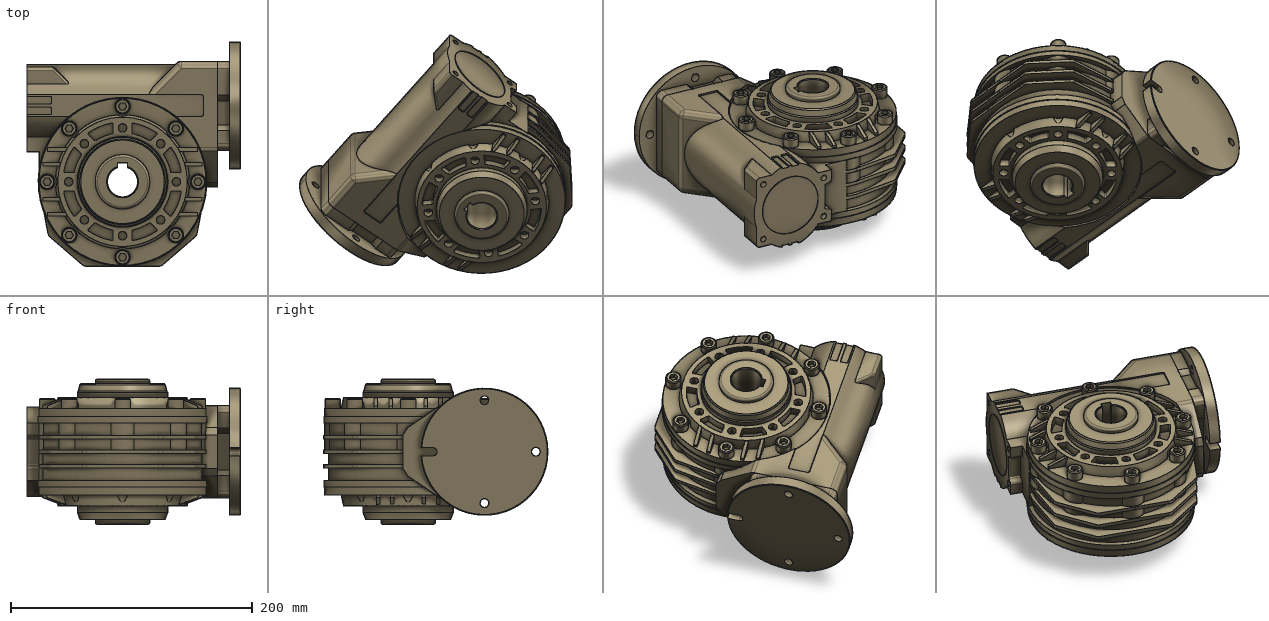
import cadquery as cq
import math


input_y = 63.0
left_x = -79.0
pad_x = 78.6
disc_x = 88.3
right_x = 97.5

shaft_radius = 22.54
shaft_half_length = 60.0
shaft_rounding = 1.9
bore_radius = 12.5
bore_chamfer = 0.7
key_width = 8.0
key_top_y = 15.5

body_radius = 65.8
body_half_height = 23.7
rim_radius = 69.7
rim_z = 29.1
cover_radius = 69.0
cover_z = 35.8
hub_base_radius = 55.5
hub_top_radius = 53.5
hub_z = 44.7
neck_radius = 37.5
neck_z = 50.0
nose_radius = 35.0
nose_z = 56.2
top_neck_z = 49.0
top_cone_radius = 36.7
top_nose_edge_radius = 35.5
top_nose_edge_z = 55.0
top_nose_radius = 34.5

screw_count = 8
screw_circle_radius = 62.3
screw_head_radius = 6.4
screw_top_z = 44.1
screw_chamfer = 1.0
socket_flats = 6.0
socket_depth = 3.7
spotface_radius = 8.2
boss_radius = 13.4
boss_centre_radius = cover_radius - boss_radius
boss_bottom_z = -0.4

hub_hole_diameter = 7.0
hub_hole_circle_radius = 44.5
hub_hole_depth = 7.5
pocket_inner_radius = 40.6
pocket_outer_radius = 49.3
pocket_depth = 7.0
pocket_rounding = 1.1
spoke_width = 15.4
rib_width = 3.0
rib_end_radius = 67.3
rib_end_z = 37.8
top_rib_slope = 0.43
bottom_rib_slope = 0.38
top_rib_ys = (14.5, 26.7)
bottom_rib_ys = (13.0, 24.9)

fin_thickness = 3.0
fin_spacing = 12.0
fin_corner_x = 61.4
fin_corner_y = -44.3
fin_front_half_width = 31.7
fin_rounding = 5.5
fin_side_y = -3.9
fin_front_y = -70.0

tube_arc_radius = 39.9
tube_arc_offset = 6.0
tube_flat_z = 37.0
tube_tip = tube_arc_radius - tube_arc_offset
tube_flat_half_width = math.sqrt(tube_arc_radius**2 - tube_flat_z**2) - tube_arc_offset
wall_x = -69.0
wall_end_y = 5.0
lug_back_y = 94.8
lug_back_half_height = 32.18
lug_back_rounding = 3.0
lug_run_out_rounding = 2.0
lug_back_end_x = -57.1
lug_front_y = 24.9
lug_notch_y = 30.8
lug_notch_half_height = 13.0
lug_notch_floor_half_height = 11.1
lug_notch_rounding = 1.5
end_hole_diameter = 5.0
end_hole_depth = 9.3
end_hole_back_offset = 25.5
end_hole_front_offset = 31.2
end_hole_front_z = 17.8
cap_diameter = 52.0
cap_recess = 0.5
slot_end_x = -58.6
slot_width = 6.1
slot_depth = 1.3
slot_offset = 4.5
slot_rounding = 1.1

block_half_height = 38.4
block_back_y = 99.6
block_corner_x = 46.4
block_start_x = 27.8
block_rounding = 6.0
block_shoulder_y = 26.7
block_knee_y = -0.4
block_knee_z = 20.0
block_front_y = -4.3
block_front_half_height = 14.0
track_end_x = 66.8
track_rounding = 1.5

disc_radius = 52.5
disc_chamfer = 0.5
pad_front_y = 25.8
pad_notch_depth = 3.7
pad_top_notch_ys = (42.5, 71.6)
pad_front_notch_half_width = 19.7
pad_notch_run = 4.6
flange_hole_diameter = 7.0
flange_hole_circle_radius = 42.5
flange_slot_width = 6.7

CUT_MARGIN = 9.3


def box(x0, x1, y0, y1, z0, z1):
    """Axis-aligned block between the given limits."""
    return cq.Workplane("XY").box(x1 - x0, y1 - y0, z1 - z0, centered=False).translate((x0, y0, z0))


def disc(radius, z0, z1, x=0.0, y=0.0):
    """Upright cylinder between two heights."""
    return cq.Workplane("XY", origin=(x, y, z0)).circle(radius).extrude(z1 - z0)


def section_along_x(x):
    """Workplane at x whose local axes are Y and Z, extruding towards +X."""
    return cq.Workplane("YZ", origin=(x, 0, 0))


def both_halves(shape):
    """The shape together with its mirror image below the mid plane."""
    return shape.union(shape.mirror("XY"))


def polar_points(radius):
    """Screw directions: evenly spaced points on a circle about the output axis."""
    step = 2 * math.pi / screw_count
    return [(radius * math.cos(i * step), radius * math.sin(i * step)) for i in range(screw_count)]


def worm_tube():
    """Pointed-oval tube along X with a flat on its top, bottom and front."""
    flat_back = input_y + tube_flat_half_width
    flat_front = input_y - tube_flat_half_width
    tube = (
        section_along_x(left_x)
        .moveTo(flat_back, tube_flat_z)
        .threePointArc((input_y + tube_tip, 0), (flat_back, -tube_flat_z))
        .lineTo(flat_front, -tube_flat_z)
        .threePointArc((input_y - tube_tip, 0), (flat_front, tube_flat_z))
        .close()
        .extrude(pad_x - left_x)
    )
    return tube.cut(box(left_x, pad_x, 0, lug_notch_y, -tube_flat_z, tube_flat_z))


def back_lug():
    """Square back half of the left end, running out into the tube at 45 degrees."""
    run_out = lug_back_y - input_y
    outline = [
        (left_x, input_y),
        (left_x, lug_back_y),
        (lug_back_end_x, lug_back_y),
        (lug_back_end_x + run_out, input_y),
    ]
    lug = cq.Workplane("XY").workplane(offset=-lug_back_half_height).polyline(outline).close()
    lug = lug.extrude(2 * lug_back_half_height)
    lug = lug.edges(">Y and |X").fillet(lug_back_rounding)
    run_out_edges = cq.selectors.BoxSelector(
        (lug_back_end_x, input_y, -block_half_height),
        (lug_back_end_x + run_out, lug_back_y - lug_back_rounding, block_half_height),
    )
    return lug.edges("not |Z").edges(run_out_edges).fillet(lug_run_out_rounding)


def side_wall():
    """Front lugs of the left end and the flat wall that joins them to the round body."""
    lugs = box(left_x, 0, lug_front_y, input_y, -body_half_height, body_half_height)
    notch_outline = [
        (lug_front_y, lug_notch_half_height),
        (lug_notch_y, lug_notch_floor_half_height),
        (lug_notch_y, -lug_notch_floor_half_height),
        (lug_front_y, -lug_notch_half_height),
    ]
    notch = section_along_x(left_x).polyline(notch_outline).close().extrude(wall_x - left_x)
    lugs = lugs.cut(notch)
    notch_edges = cq.selectors.BoxSelector(
        (left_x, lug_front_y - 1.9, -lug_notch_half_height - 1.9),
        (wall_x, lug_notch_y + 1.9, lug_notch_half_height + 1.9),
    )
    lugs = lugs.edges("|X").edges(notch_edges).fillet(lug_notch_rounding)
    return lugs.union(box(wall_x, 0, wall_end_y, input_y, -body_half_height, body_half_height))


def left_end_cuts():
    """Screw holes, shallow cap recess and the open-ended slots in the tube flats."""
    holes = [
        (input_y + end_hole_back_offset, end_hole_back_offset),
        (input_y + end_hole_back_offset, -end_hole_back_offset),
        (input_y - end_hole_front_offset, end_hole_front_z),
        (input_y - end_hole_front_offset, -end_hole_front_z),
    ]
    cuts = section_along_x(left_x).pushPoints(holes).circle(end_hole_diameter / 2).extrude(end_hole_depth)
    cuts = cuts.union(section_along_x(left_x).center(input_y, 0).circle(cap_diameter / 2).extrude(cap_recess))
    for side in (-1, 1):
        centre_y = input_y + side * slot_offset
        slot = box(
            left_x,
            slot_end_x,
            centre_y - slot_width / 2,
            centre_y + slot_width / 2,
            tube_flat_z - slot_depth,
            block_half_height,
        )
        slot = slot.edges("|Z and >X").fillet(slot_rounding)
        cuts = cuts.union(both_halves(slot))
    return cuts


def input_block():
    """Large block that carries the flange, with a 45 degree back corner and a sloping front."""
    upper = [
        (block_back_y, block_half_height),
        (block_shoulder_y, block_half_height),
        (block_knee_y, block_knee_z),
        (block_front_y, block_front_half_height),
    ]
    lower = [(y, -z) for y, z in reversed(upper)]
    profile = section_along_x(-block_corner_x).polyline(upper + lower).close()
    block = profile.extrude(pad_x + block_corner_x)
    shoulder_edges = cq.selectors.BoxSelector(
        (-rim_radius, block_shoulder_y - 1.9, -rim_radius), (pad_x, block_shoulder_y + 1.9, rim_radius)
    )
    block = block.edges("|X").edges(shoulder_edges).fillet(block_rounding)

    diagonal_run = block_back_y - input_y
    plan = [
        (block_corner_x, block_back_y),
        (pad_x, block_back_y),
        (pad_x, block_front_y),
        (block_start_x, block_front_y),
        (block_corner_x - diagonal_run, input_y),
    ]
    plan_prism = cq.Workplane("XY").workplane(offset=-block_half_height).polyline(plan).close()
    plan_prism = plan_prism.extrude(2 * block_half_height)
    rounded_edges = cq.selectors.BoxSelector(
        (block_corner_x - diagonal_run / 2 - 1.9, input_y + diagonal_run / 2 - 1.9, -block_half_height - 1.9),
        (pad_x - 1.9, block_back_y + 1.9, block_half_height + 1.9),
    )
    plan_prism = plan_prism.edges(rounded_edges).fillet(block_rounding)
    return block.intersect(plan_prism)


def block_track():
    """Recess that continues the tube flat into the top of the input block."""
    track = box(
        0,
        track_end_x,
        input_y - tube_flat_half_width,
        input_y + tube_flat_half_width,
        tube_flat_z,
        block_half_height + CUT_MARGIN,
    )
    return track.edges("|Z and >X").fillet(track_rounding)


def round_body():
    """Stepped body of revolution with both covers, hubs and tapered noses."""
    profile = [
        (0, -nose_z),
        (nose_radius, -nose_z),
        (neck_radius, -neck_z),
        (neck_radius, -hub_z),
        (hub_top_radius, -hub_z),
        (hub_base_radius, -cover_z),
        (cover_radius, -cover_z),
        (cover_radius, -rim_z),
        (rim_radius, -rim_z),
        (rim_radius, -body_half_height),
        (body_radius, -body_half_height),
        (body_radius, body_half_height),
        (rim_radius, body_half_height),
        (rim_radius, rim_z),
        (cover_radius, rim_z),
        (cover_radius, cover_z),
        (hub_base_radius, cover_z),
        (hub_top_radius, hub_z),
        (neck_radius, hub_z),
        (neck_radius, top_neck_z),
        (top_cone_radius, neck_z),
        (top_nose_edge_radius, top_nose_edge_z),
        (top_nose_radius, nose_z),
        (0, nose_z),
    ]
    return cq.Workplane("XZ").polyline(profile).close().revolve(360, (0, 0, 0), (0, 1, 0))


def cover_clearance():
    """Round space that the input parts leave free for the upper cover."""
    return disc(rim_radius, rim_z, block_half_height + CUT_MARGIN)


def screw_bosses():
    """Vertical bosses under the rim, one below each cover screw."""
    centres = polar_points(boss_centre_radius)
    boss = cq.Workplane("XY", origin=(0, 0, boss_bottom_z)).pushPoints(centres).circle(boss_radius)
    return boss.extrude(rim_z - boss_bottom_z)


def fins():
    """Three horizontal plates with a chamfered outline across the front."""
    outline = [
        (wall_x, wall_end_y),
        (wall_x, fin_side_y),
        (-fin_corner_x, fin_corner_y),
        (-fin_front_half_width, fin_front_y),
        (fin_front_half_width, fin_front_y),
        (fin_corner_x, fin_corner_y),
        (-wall_x, fin_side_y),
        (-wall_x, wall_end_y),
    ]
    plate = cq.Workplane("XY").polyline(outline).close().extrude(fin_thickness)
    front_edges = cq.selectors.BoxSelector(
        (wall_x, fin_front_y - 1.9, -1.9), (-wall_x, fin_corner_y + 1.9, fin_thickness + 1.9)
    )
    plate = plate.edges("|Z").edges(front_edges).fillet(fin_rounding)
    stack = cq.Workplane("XY")
    for level in (-1, 0, 1):
        stack = stack.union(plate.translate((0, 0, level * fin_spacing - fin_thickness / 2)))
    return stack


def cover_ribs(rib_ys, rib_slope):
    """Sloping ribs from the upper cover's rim up to its hub, on both sides in X."""
    ribs = cq.Workplane("XY")
    for y in rib_ys:
        end_x = math.sqrt(rib_end_radius**2 - y**2)
        root_x = neck_radius
        root_z = min(rib_end_z + rib_slope * (end_x - root_x), hub_z)
        crest_x = end_x - (root_z - rib_end_z) / rib_slope
        outline = [
            (root_x, cover_z),
            (end_x, cover_z),
            (end_x, rib_end_z),
            (crest_x, root_z),
            (root_x, root_z),
        ]
        rib = cq.Workplane("XZ").polyline(outline).close().extrude(rib_width / 2, both=True)
        for side in (-1, 1):
            placed = rib.translate((0, side * y, 0))
            ribs = ribs.union(placed).union(placed.mirror("YZ"))
    return ribs


def spotfaces():
    """Clearance around each screw, scalloping the foot of the hub."""
    return (
        cq.Workplane("XY", origin=(0, 0, cover_z))
        .pushPoints(polar_points(screw_circle_radius))
        .circle(spotface_radius)
        .extrude(hub_z - cover_z)
    )


def screw_heads():
    """Socket heads of the cover screws."""
    head = disc(screw_head_radius, cover_z, screw_top_z).faces(">Z").edges().chamfer(screw_chamfer)
    socket_corners = socket_flats / math.cos(math.pi / 6)
    socket = cq.Workplane("XY", origin=(0, 0, screw_top_z)).polygon(6, socket_corners).extrude(-socket_depth)
    head = head.cut(socket)
    heads = cq.Workplane("XY")
    for x, y in polar_points(screw_circle_radius):
        heads = heads.union(head.translate((x, y, 0)))
    return heads


def hub_cuts():
    """Ring of screw holes and the arc-shaped pockets between them in the upper hub face."""
    floor_z = hub_z - pocket_depth
    ring = disc(pocket_outer_radius, floor_z, hub_z).cut(disc(pocket_inner_radius, floor_z, hub_z))
    for i in range(screw_count // 2):
        spoke = box(-rim_radius, rim_radius, -spoke_width / 2, spoke_width / 2, floor_z, hub_z)
        ring = ring.cut(spoke.rotate((0, 0, 0), (0, 0, 1), i * 360 / screw_count))
    pockets = ring.edges("|Z").fillet(pocket_rounding)
    holes = (
        cq.Workplane("XY", origin=(0, 0, hub_z))
        .pushPoints(polar_points(hub_hole_circle_radius))
        .circle(hub_hole_diameter / 2)
        .extrude(-hub_hole_depth)
    )
    return pockets.union(holes)


def make_housing():
    input_parts = worm_tube().union(input_block()).cut(both_halves(block_track()))
    input_parts = input_parts.union(back_lug()).union(side_wall()).cut(left_end_cuts())
    input_parts = input_parts.cut(both_halves(cover_clearance()))

    covers = round_body().cut(both_halves(spotfaces()))
    covers = covers.union(cover_ribs(top_rib_ys, top_rib_slope))
    covers = covers.union(cover_ribs(bottom_rib_ys, bottom_rib_slope).mirror("XY"))
    covers = covers.cut(both_halves(hub_cuts())).union(screw_heads())

    housing = covers.union(input_parts).union(screw_bosses()).union(fins())
    return housing.cut(disc(shaft_radius, -shaft_half_length, shaft_half_length))


def make_output_shaft():
    """Hollow shaft with a keyway through its whole length."""
    shaft = disc(shaft_radius, -shaft_half_length, shaft_half_length)
    shaft = shaft.faces("<Z or >Z").edges().fillet(shaft_rounding)
    shaft = shaft.cut(disc(bore_radius, -shaft_half_length, shaft_half_length))
    shaft = shaft.faces("<Z or >Z").edges("%CIRCLE").edges(
        cq.selectors.RadiusNthSelector(0)
    ).chamfer(bore_chamfer)
    keyway = box(
        -key_width / 2, key_width / 2, 0, key_top_y, -shaft_half_length, shaft_half_length
    )
    return shaft.cut(keyway)


def notch_prism(start, end, surface, floor):
    """Tapered notch profile, drawn along Y from start to end and down from surface to floor."""
    outline = [
        (start, surface),
        (start + pad_notch_run, floor),
        (end - pad_notch_run, floor),
        (end, surface),
    ]
    return section_along_x(pad_x).polyline(outline).close().extrude(disc_x - pad_x)


def make_input_flange():
    """Round motor flange on a rounded pad that is notched on its top, bottom and front."""
    pad = box(pad_x, disc_x, pad_front_y, block_back_y, -block_half_height, block_half_height)
    pad = pad.edges("|X").fillet(block_rounding)
    top_notch = notch_prism(*pad_top_notch_ys, block_half_height, block_half_height - pad_notch_depth)
    pad = pad.cut(both_halves(top_notch))
    front_notch = notch_prism(
        -pad_front_notch_half_width, pad_front_notch_half_width, -pad_front_y, -pad_front_y - pad_notch_depth
    )
    pad = pad.cut(front_notch.rotate((0, 0, 0), (1, 0, 0), 90))

    plate = section_along_x(disc_x).center(input_y, 0).circle(disc_radius).extrude(right_x - disc_x)
    plate = plate.faces(">X").edges().chamfer(disc_chamfer)
    reach = flange_hole_circle_radius
    holes = [(input_y + reach, 0), (input_y, reach), (input_y, -reach)]
    plate = plate.cut(
        section_along_x(disc_x).pushPoints(holes).circle(flange_hole_diameter / 2).extrude(right_x - disc_x)
    )
    slot_end = input_y - reach
    slot = section_along_x(disc_x).center(slot_end, 0).circle(flange_slot_width / 2).extrude(right_x - disc_x)
    slot = slot.union(
        box(disc_x, right_x, 0, slot_end, -flange_slot_width / 2, flange_slot_width / 2)
    )
    return pad.union(plate.cut(slot))


housing = make_housing()
output_shaft = make_output_shaft()
input_flange = make_input_flange()
result = cq.Compound.makeCompound([housing.val(), output_shaft.val(), input_flange.val()])